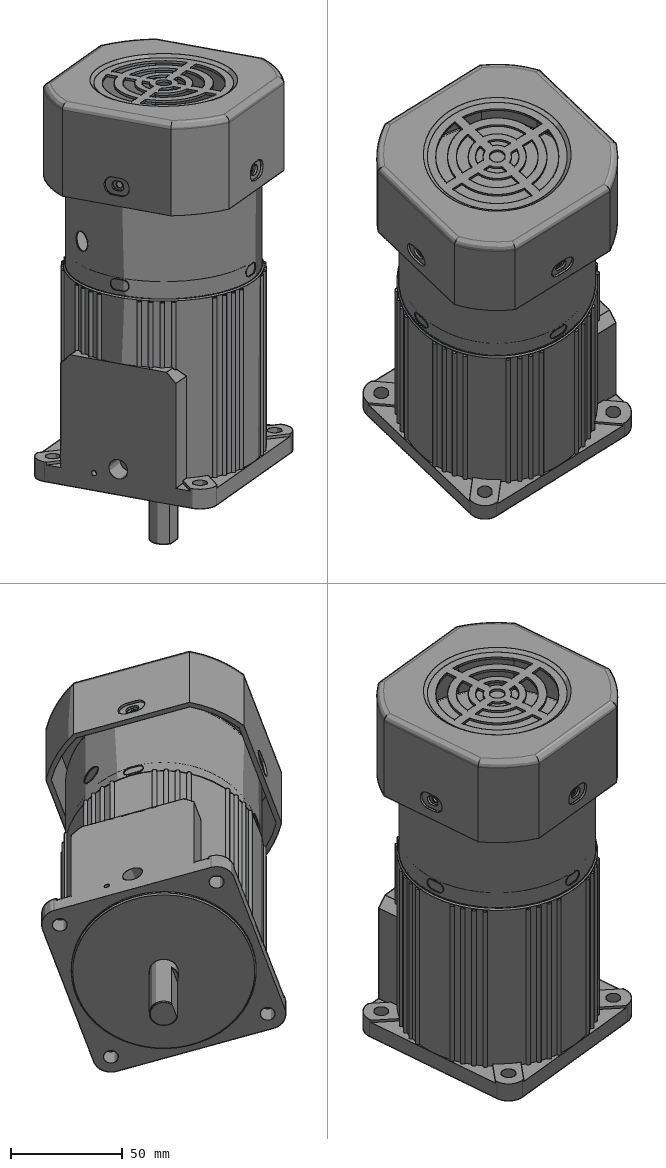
import cadquery as cq

SHAFT_END_Z = 0
BOSS_Z = 35.0
FLANGE_Z = 36.7
FLANGE_TOP_Z = 44.9
PAD_TOP_Z = 46.2
RIBBED_TOP_Z = 132.0
SPIGOT_TOP_Z = 140.1
SHELL_TOP_Z = 189.2
COVER_Z = 175.5
COVER_TOP_Z = 220

RIBBED_R = 44.9
RIBBED_CHAMFER = 0.7
RIB_R = 1.0
RIB_TOP_Z = 131.0
RIB_FIRST_ANGLE = 12.8
RIB_PITCH_ANGLE = 6.6
RIBS_PER_GROUP = 4

FLANGE_SIDE = 90.0
FLANGE_CORNER_R = 8.1
PAD_WIDTH = 12.8
MOUNT_HOLE_D = 6.5
BOSS_R = 41.4
BOSS_CHAMFER = 0.7

TERMINAL_WIDTH = 57.6
TERMINAL_TOP_Z = 99.7
TERMINAL_CHAMFER = 4.6
CABLE_HOLE_D = 9.2
CABLE_HOLE_Z = 49.0
CABLE_HOLE_DEPTH = 11.0
EARTH_HOLE_D = 2.5
EARTH_HOLE_X = -12.0
EARTH_HOLE_Z = 45.0
EARTH_HOLE_DEPTH = 3.3

SHAFT_D = 13.0
SHAFT_FLAT_X = 5.0
SHAFT_FLAT_TOP_Z = 30.1
SHAFT_CHAMFER = 0.5

SPIGOT_BORE_R = 28.5
SPIGOT_BORE_DEPTH = 2.2

SHELL_R = 44.0
SHELL_WALL = 0.5
SPIGOT_R = SHELL_R - SHELL_WALL
SHELL_SLOT_LENGTH = 9.2
SHELL_SLOT_HEIGHT = 5.3
SHELL_SLOT_Z = 136.8
SHELL_HOLE_D = 9.2
SHELL_HOLE_Z = 152.0
SHELL_HOLE_ANGLE = -30
SCREW_HOLE_D = 3.0
SCREW_Z = 184.8

COVER_SIDE = 93.0
COVER_CORNER_R = 54.0
COVER_FILLET = 3.0
CAVITY_SIDE = 88.5
COVER_WALL = (COVER_SIDE - CAVITY_SIDE) / 2
COVER_ROOF = 2.5
COVER_SLOT_LENGTH = 12.5
COVER_SLOT_HEIGHT = 8.5
COVER_SLOT_DEPTH = 1.0
COVER_INNER_SLOT_LENGTH = 6.0
COVER_INNER_SLOT_HEIGHT = 4.6

GRILLE_TOP_R = 33.0
GRILLE_FLOOR_R = 31.2
GRILLE_DEPTH = 1.3
GRILLE_SPOKE = 4.5
GRILLE_HUB_HOLE_R = 3.5
GRILLE_RINGS = [(6.4, 9.7), (13.0, 18.3), (22.2, 27.5)]

SIDE_ANGLES = [0, 90, 180, 270]
Z_AXIS = ((0, 0, 0), (0, 0, 1))


def disc(radius, z_low, z_high):
    """Solid cylinder on the Z axis between two levels."""
    return cq.Workplane("XY", origin=(0, 0, z_low)).circle(radius).extrude(z_high - z_low)


def block(side, z_low, z_high):
    """Square block centred on the Z axis between two levels."""
    return cq.Workplane("XY", origin=(0, 0, z_low)).rect(side, side).extrude(z_high - z_low)


def side_slot(length, height, z, y_outer, depth):
    """Round-ended slot tool entering from -Y at y = -y_outer and running inwards."""
    plane = cq.Workplane("XZ", origin=(0, -y_outer, z))
    return plane.slot2D(length, height).extrude(-depth)


def side_hole(diameter, x, z, y_outer, depth):
    """Round hole tool entering from -Y at y = -y_outer and running inwards."""
    return cq.Workplane("XZ", origin=(x, -y_outer, z)).circle(diameter / 2).extrude(-depth)


def turned(shape, angle):
    return shape.rotate(*Z_AXIS, angle)


def ribbed_body():
    body = disc(RIBBED_R, FLANGE_Z, RIBBED_TOP_Z).faces(">Z").edges().chamfer(RIBBED_CHAMFER)
    rib = cq.Workplane("XY", origin=(RIBBED_R, 0, FLANGE_Z)).circle(RIB_R).extrude(RIB_TOP_Z - FLANGE_Z)
    for side in SIDE_ANGLES:
        for i in range(RIBS_PER_GROUP):
            offset = RIB_FIRST_ANGLE + i * RIB_PITCH_ANGLE
            body = body.union(turned(rib, side + offset))
            body = body.union(turned(rib, side - offset))
    return body


def terminal_box():
    """Block on the -Y side, flush with the flange edge."""
    y_face = FLANGE_SIDE / 2
    height = TERMINAL_TOP_Z - FLANGE_Z
    box = (
        cq.Workplane("XY", origin=(0, -y_face / 2, FLANGE_Z))
        .rect(TERMINAL_WIDTH, y_face)
        .extrude(height)
    )
    return box.edges("|Y and >Z").chamfer(TERMINAL_CHAMFER)


def flange():
    outline = block(FLANGE_SIDE, FLANGE_Z, PAD_TOP_Z).edges("|Z").fillet(FLANGE_CORNER_R)
    plate = outline.intersect(block(FLANGE_SIDE, FLANGE_Z, FLANGE_TOP_Z))
    strip = (
        cq.Workplane("XY", origin=(0, 0, FLANGE_Z))
        .rect(2 * FLANGE_SIDE, PAD_WIDTH)
        .extrude(PAD_TOP_Z - FLANGE_Z)
    )
    for angle in (45, 135):
        plate = plate.union(outline.intersect(turned(strip, angle)))
    return plate


def mounting_holes():
    spacing = FLANGE_SIDE - 2 * FLANGE_CORNER_R
    return (
        cq.Workplane("XY", origin=(0, 0, FLANGE_Z))
        .rect(spacing, spacing, forConstruction=True)
        .vertices()
        .circle(MOUNT_HOLE_D / 2)
        .extrude(PAD_TOP_Z - FLANGE_Z)
    )


def shaft():
    rod = disc(SHAFT_D / 2, SHAFT_END_Z, FLANGE_Z).faces("<Z").edges().chamfer(SHAFT_CHAMFER)
    flat = (
        cq.Workplane("XY", origin=(SHAFT_FLAT_X + SHAFT_D / 2, 0, SHAFT_END_Z))
        .rect(SHAFT_D, SHAFT_D)
        .extrude(SHAFT_FLAT_TOP_Z - SHAFT_END_Z)
    )
    return rod.cut(flat)


def make_housing():
    """Ribbed motor body with flange, terminal box, top spigot and output shaft."""
    boss = disc(BOSS_R, BOSS_Z, FLANGE_Z).faces("<Z").edges().chamfer(BOSS_CHAMFER)
    spigot = disc(SPIGOT_R, RIBBED_TOP_Z, SPIGOT_TOP_Z)
    body = ribbed_body().union(terminal_box()).union(flange()).union(boss)
    body = body.union(shaft()).union(spigot)

    y_face = FLANGE_SIDE / 2
    body = body.cut(disc(SPIGOT_BORE_R, SPIGOT_TOP_Z - SPIGOT_BORE_DEPTH, SPIGOT_TOP_Z))
    body = body.cut(mounting_holes())
    body = body.cut(side_hole(CABLE_HOLE_D, 0, CABLE_HOLE_Z, y_face, CABLE_HOLE_DEPTH))
    body = body.cut(side_hole(EARTH_HOLE_D, EARTH_HOLE_X, EARTH_HOLE_Z, y_face, EARTH_HOLE_DEPTH))
    return body


def make_shell():
    """Thin cup, closed at the top, that slips over the spigot of the housing."""
    cup = disc(SHELL_R, RIBBED_TOP_Z, SHELL_TOP_Z)
    cup = cup.cut(disc(SPIGOT_R, RIBBED_TOP_Z, SHELL_TOP_Z - SHELL_WALL))

    reach = SHELL_R / 2
    slot = side_slot(SHELL_SLOT_LENGTH, SHELL_SLOT_HEIGHT, SHELL_SLOT_Z, SHELL_R, reach)
    screw_hole = side_hole(SCREW_HOLE_D, 0, SCREW_Z, SHELL_R, reach)
    for angle in SIDE_ANGLES:
        cup = cup.cut(turned(slot, angle)).cut(turned(screw_hole, angle))

    hole = side_hole(SHELL_HOLE_D, 0, SHELL_HOLE_Z, SHELL_R, reach)
    return cup.cut(turned(hole, SHELL_HOLE_ANGLE))


def rounded_square(side, corner_r, z_low, z_high):
    """Square whose corners are cut by a circle about the axis."""
    return block(side, z_low, z_high).intersect(disc(corner_r, z_low, z_high))


def grille_recess():
    return (
        cq.Workplane("XY", origin=(0, 0, COVER_TOP_Z - GRILLE_DEPTH))
        .circle(GRILLE_FLOOR_R)
        .workplane(offset=GRILLE_DEPTH)
        .circle(GRILLE_TOP_R)
        .loft()
    )


def grille_openings():
    """Hub hole and three rings of slots parted by spokes along X and Y."""
    low = COVER_TOP_Z - COVER_ROOF
    openings = disc(GRILLE_HUB_HOLE_R, low, COVER_TOP_Z)
    base = cq.Workplane("XY", origin=(0, 0, low))
    spokes = base.rect(2 * GRILLE_TOP_R, GRILLE_SPOKE).extrude(COVER_ROOF)
    spokes = spokes.union(turned(spokes, 90))
    for inner_r, outer_r in GRILLE_RINGS:
        ring = base.circle(outer_r).circle(inner_r).extrude(COVER_ROOF)
        openings = openings.union(ring.cut(spokes))
    return openings


def make_cover():
    """Square cap, open at the bottom, with a grille in its roof."""
    cap = rounded_square(COVER_SIDE, COVER_CORNER_R, COVER_Z, COVER_TOP_Z)
    cap = cap.faces(">Z").edges().fillet(COVER_FILLET)
    cavity_corner_r = COVER_CORNER_R - COVER_WALL
    cap = cap.cut(rounded_square(CAVITY_SIDE, cavity_corner_r, COVER_Z, COVER_TOP_Z - COVER_ROOF))
    cap = cap.cut(grille_recess()).cut(grille_openings())

    y_face = COVER_SIDE / 2
    outer_slot = side_slot(COVER_SLOT_LENGTH, COVER_SLOT_HEIGHT, SCREW_Z, y_face, COVER_SLOT_DEPTH)
    inner_slot = side_slot(
        COVER_INNER_SLOT_LENGTH, COVER_INNER_SLOT_HEIGHT, SCREW_Z, y_face, COVER_WALL
    )
    for angle in SIDE_ANGLES:
        cap = cap.cut(turned(outer_slot, angle)).cut(turned(inner_slot, angle))
    return cap


housing = make_housing()
shell = make_shell()
cover = make_cover()

result = cq.Compound.makeCompound([housing.val(), shell.val(), cover.val()])